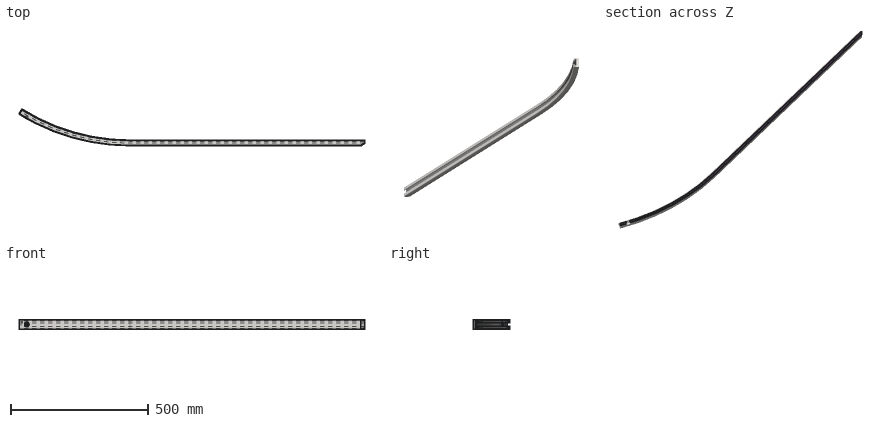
import cadquery as cq
import math

total_length = 1260.33
height = 36.0
depth = 20.0

bend_radius = 761.25
bend_angle = 32.0

base_thickness = 10.0
flange_thickness = 5.0
lip_thickness = 3.0
slot_width = 14.0
edge_radius = 2.0

hole_diameter = 8.0
counterbore_diameter = 15.0
counterbore_depth = 7.0
hole_from_end = 31.5

bevel_length = 15.0
bevel_depth = 9.0

bend_length = bend_radius * math.sin(math.radians(bend_angle))
straight_length = total_length - bend_length


def make_section():
    """The channel, sketched with Y across and Z up; its outer face is on Y = 0."""
    cavity_depth = depth - base_thickness - lip_thickness
    cavity_height = height - 2 * flange_thickness
    slot_depth = depth - base_thickness
    return (
        cq.Sketch()
        .push([(depth / 2, 0)])
        .rect(depth, height)
        .reset()
        .vertices()
        .fillet(edge_radius)
        .reset()
        .push([(base_thickness + cavity_depth / 2, 0)])
        .rect(cavity_depth, cavity_height, mode="s")
        .reset()
        .push([(base_thickness + slot_depth / 2, 0)])
        .rect(slot_depth, slot_width, mode="s")
        .reset()
    )


def make_rail():
    """Run the section along the straight length and round the bend."""
    section = cq.Workplane("YZ").placeSketch(make_section())
    straight = section.extrude(straight_length)
    bend = section.revolve(bend_angle, (bend_radius, 0), (bend_radius, -1))
    return straight.union(bend)


def make_bore(diameter, bore_depth):
    """A cylinder that runs from the outer face towards +Y at X = 0."""
    return cq.Workplane("XZ").circle(diameter / 2).extrude(-bore_depth)


def make_hole():
    """The counterbored hole, turned about the bend axis to its place near the end."""
    angle_from_end = math.degrees(hole_from_end / bend_radius)
    through_bore = make_bore(hole_diameter, base_thickness)
    counterbore = make_bore(counterbore_diameter, counterbore_depth)
    axis_start = (0, bend_radius, 0)
    axis_end = (0, bend_radius, 1)
    return through_bore.union(counterbore).rotate(axis_start, axis_end, angle_from_end - bend_angle)


def make_bevel():
    """The wedge removed from the outer face at the straight end."""
    return (
        cq.Workplane("XY")
        .moveTo(straight_length - bevel_length, 0)
        .lineTo(straight_length, 0)
        .lineTo(straight_length, bevel_depth)
        .close()
        .extrude(height / 2, both=True)
    )


result = make_rail().cut(make_hole()).cut(make_bevel()).solids()